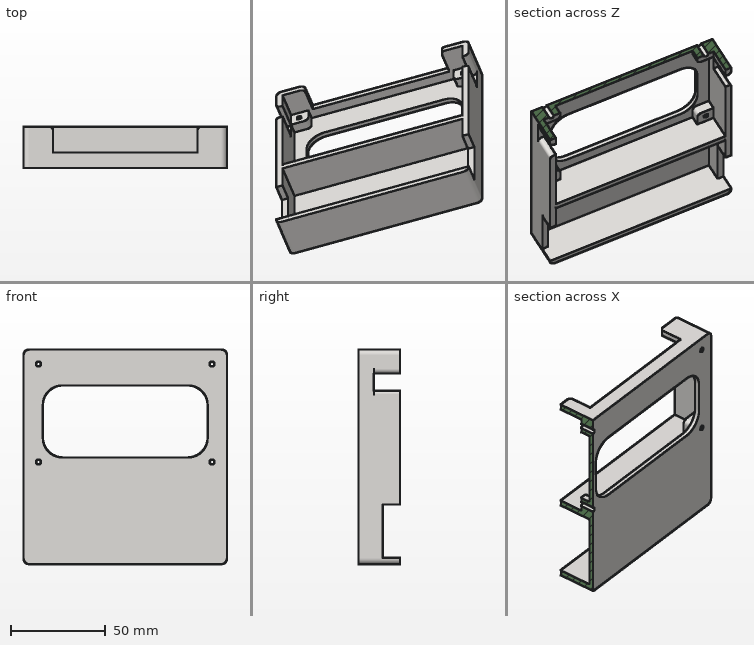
import cadquery as cq

WIDTH = 107.6
DEPTH = 22.0
HEIGHT = 113.5
CORNER_RADIUS = 3.1
WALL = 3.5
PLATE = 2.7

WINDOW_WIDTH = 86.9
WINDOW_BOTTOM = 56.5
WINDOW_TOP = 94.4
WINDOW_RADIUS = 10.3
HOLE_DIAMETER = 2.5
HOLE_X = 45.9
LOWER_HOLE_Z = 54.0
UPPER_HOLE_Z = 105.8

POST_LENGTH = 8.2
POST_INNER_OFFSET = 5.2
POST_RADIUS = 2.5

TOP_NOTCH_WIDTH = 76.3
TOP_NOTCH_RADIUS = 2.2
SLOT_BOTTOM = 91.7
SLOT_TOP = 100.8
SLOT_LOWER_RADIUS = 1.9
SLOT_UPPER_RADIUS = 2.4
SIDE_NOTCH_TOP = 31.5
SIDE_NOTCH_FRONT = 12.9

INNER_HALF_WIDTH = WIDTH / 2 - WALL
INNER_TOP = HEIGHT - WALL
POST_HALF_HEIGHT = INNER_TOP - UPPER_HOLE_Z
SHELF_TOP = LOWER_HOLE_Z - POST_HALF_HEIGHT
SHELF_BOTTOM = SHELF_TOP - WALL


def block(x_range, y_range, z_range):
    """Box spanning the given (low, high) limits along each axis."""
    low, high = zip(x_range, y_range, z_range)
    size = [b - a for a, b in zip(low, high)]
    return cq.Workplane("XY").box(*size, centered=False).translate(low)


def hollow_case():
    """Rounded case with two compartments separated by a shelf."""
    case = block((-WIDTH / 2, WIDTH / 2), (0, DEPTH), (0, HEIGHT))
    case = case.edges("|Y").fillet(CORNER_RADIUS)
    for z_range in ((WALL, SHELF_BOTTOM), (SHELF_TOP, INNER_TOP)):
        case = case.cut(block((-INNER_HALF_WIDTH, INNER_HALF_WIDTH), (PLATE, DEPTH), z_range))
    return case


def screw_post(side, hole_z):
    """Post joined to a side wall, with its free corner rounded."""
    inner_x = side * (HOLE_X - POST_INNER_OFFSET)
    x_range = sorted((inner_x, side * INNER_HALF_WIDTH))
    z_range = (hole_z - POST_HALF_HEIGHT, hole_z + POST_HALF_HEIGHT)
    post = block(x_range, (0, POST_LENGTH), z_range)
    free_x = "<X" if side > 0 else ">X"
    free_z = ">Z" if hole_z == LOWER_HOLE_Z else "<Z"
    return post.edges("|Y").edges(free_x).edges(free_z).fillet(POST_RADIUS)


def window():
    opening = block(
        (-WINDOW_WIDTH / 2, WINDOW_WIDTH / 2), (0, PLATE), (WINDOW_BOTTOM, WINDOW_TOP)
    )
    return opening.edges("|Y").fillet(WINDOW_RADIUS)


def top_notch():
    """Opening through the top wall, flaring at its two rear corners."""
    half = TOP_NOTCH_WIDTH / 2
    r = TOP_NOTCH_RADIUS
    return (
        cq.Workplane("XY")
        .workplane(offset=INNER_TOP)
        .moveTo(-half, POST_LENGTH)
        .lineTo(half, POST_LENGTH)
        .lineTo(half, DEPTH - r)
        .radiusArc((half + r, DEPTH), r)
        .lineTo(-half - r, DEPTH)
        .radiusArc((-half, DEPTH - r), r)
        .close()
        .extrude(WALL)
    )


def side_slot():
    """Slot through both side walls, flaring towards the outside."""
    half = WIDTH / 2
    low_r = SLOT_LOWER_RADIUS
    high_r = SLOT_UPPER_RADIUS
    return (
        cq.Workplane("XZ", origin=(0, DEPTH, 0))
        .moveTo(-half, SLOT_BOTTOM - low_r)
        .radiusArc((-half + low_r, SLOT_BOTTOM), low_r)
        .lineTo(half - low_r, SLOT_BOTTOM)
        .radiusArc((half, SLOT_BOTTOM - low_r), low_r)
        .lineTo(half, SLOT_TOP + high_r)
        .radiusArc((half - high_r, SLOT_TOP), high_r)
        .lineTo(-half + high_r, SLOT_TOP)
        .radiusArc((-half, SLOT_TOP + high_r), high_r)
        .close()
        .extrude(DEPTH - POST_LENGTH)
    )


def screw_hole(side, hole_z):
    """Hole through the face plate and its post."""
    return (
        cq.Workplane("XZ", origin=(side * HOLE_X, 0, hole_z))
        .circle(HOLE_DIAMETER / 2)
        .extrude(-POST_LENGTH)
    )


result = hollow_case()
screw_places = [(side, z) for side in (-1, 1) for z in (LOWER_HOLE_Z, UPPER_HOLE_Z)]
for side, hole_z in screw_places:
    result = result.union(screw_post(side, hole_z))
    result = result.cut(screw_hole(side, hole_z))

result = result.cut(window()).cut(top_notch()).cut(side_slot())

result = result.cut(
    block((-WIDTH / 2, WIDTH / 2), (SIDE_NOTCH_FRONT, DEPTH), (WALL, SIDE_NOTCH_TOP))
)